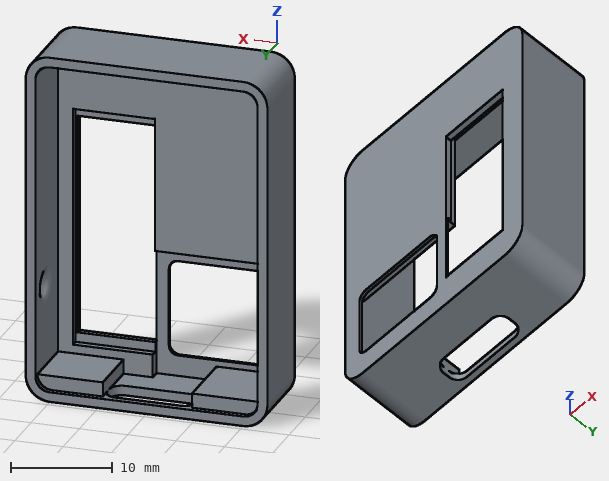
import cadquery as cq
import math

width = 25.0
depth = 8.47
height = 36.35
corner_radius = 2.5
wall = 1.0
front_thickness = 1.5
cavity_radius = corner_radius - wall

front_y = -depth / 2
back_y = depth / 2
cavity_front_y = front_y + front_thickness
floor_z = -height / 2 + wall
inner_right_x = width / 2 - wall
inner_left_x = -inner_right_x

tall_left, tall_right = 1.7, 9.75
tall_bottom, tall_top = -13.75, 9.13
tall_lip = 0.7
tall_pocket_side = 0.2
tall_pocket_end = 1.0

square_left, square_right = -10.47, 0.45
square_bottom, square_top = -15.0, -5.05
square_radius = 1.0
square_lip = 0.33
square_pocket_margin = 1.27

slot_center_x = 0.1
slot_center_y = 1.85
slot_length = 9.25
slot_width = 3.2
slot_radius = 1.25
pad_height = 1.5
pad_back_gap = 0.6

dimple_y = 1.1
dimple_z = -7.15
dimple_radius = 1.95
bowl_radius = 1.25
rim_angle = math.radians(45)


def box(x_range, y_range, z_range):
    """Box spanning the given (low, high) ranges."""
    (x0, x1), (y0, y1), (z0, z1) = x_range, y_range, z_range
    return cq.Workplane("XY").box(x1 - x0, y1 - y0, z1 - z0, centered=False).translate((x0, y0, z0))


def make_shell():
    outer = cq.Workplane("XY").box(width, depth, height).edges("|Y").fillet(corner_radius)
    cavity = box(
        (inner_left_x, inner_right_x), (cavity_front_y, back_y), (floor_z, -floor_z)
    ).edges("|Y").fillet(cavity_radius)
    return outer.cut(cavity)


def make_pads():
    """Floor pads that fill the corners on either side of the slot."""
    y_range = (front_y + square_lip, back_y - pad_back_gap)
    z_range = (floor_z, floor_z + pad_height)
    slot_left = slot_center_x - slot_length / 2
    slot_right = slot_center_x + slot_length / 2
    left_pad = box((inner_left_x, slot_left), y_range, z_range)
    right_pad = box((slot_right, inner_right_x), y_range, z_range)
    return left_pad.union(right_pad)


def make_tall_window():
    window = box((tall_left, tall_right), (front_y, cavity_front_y), (tall_bottom, tall_top))
    pocket = box(
        (tall_left - tall_pocket_side, tall_right + tall_pocket_side),
        (front_y + tall_lip, cavity_front_y),
        (tall_bottom - tall_pocket_end, tall_top + tall_pocket_end),
    )
    return window.union(pocket)


def make_square_window():
    window = box((square_left, square_right), (front_y, cavity_front_y), (square_bottom, square_top))
    window = window.edges("|Y").fillet(square_radius)
    pocket = box(
        (inner_left_x, square_right + square_pocket_margin),
        (front_y + square_lip, cavity_front_y),
        (floor_z, square_top + square_pocket_margin),
    )
    return window.union(pocket)


def make_slot():
    return (
        cq.Workplane("XY", origin=(slot_center_x, slot_center_y, -height / 2 + wall / 2))
        .box(slot_length, slot_width, wall)
        .edges("|Z")
        .fillet(slot_radius)
    )


def place_on_right_wall(profile):
    """Revolve a (radius, height off the wall) profile and stand it on the right inner wall."""
    solid = profile.close().revolve(360, (0, 0, 0), (0, 1, 0))
    return solid.rotate((0, 0, 0), (0, 0, 1), 90).translate((inner_right_x, dimple_y, dimple_z))


def make_dimple():
    """Spherical hollow whose rim rolls over tangentially into the wall."""
    rim_radius = (dimple_radius - bowl_radius) / math.sin(rim_angle)
    bowl_sphere_radius = bowl_radius / math.sin(rim_angle)
    seam_depth = rim_radius * (1 - math.cos(rim_angle))
    dimple_depth = seam_depth + bowl_sphere_radius * (1 - math.cos(rim_angle))
    half_angle = rim_angle / 2
    rim_middle = (
        dimple_radius - rim_radius * math.sin(half_angle),
        -rim_radius * (1 - math.cos(half_angle)),
    )
    bowl_middle = (
        bowl_sphere_radius * math.sin(half_angle),
        bowl_sphere_radius * (1 - math.cos(half_angle)) - dimple_depth,
    )
    return place_on_right_wall(
        cq.Workplane("XY")
        .moveTo(dimple_radius, 0)
        .threePointArc(rim_middle, (bowl_radius, -seam_depth))
        .threePointArc(bowl_middle, (0, -dimple_depth))
        .lineTo(0, 0)
    )


result = (
    make_shell()
    .cut(make_tall_window())
    .cut(make_square_window())
    .union(make_pads())
    .cut(make_slot())
    .cut(make_dimple())
)